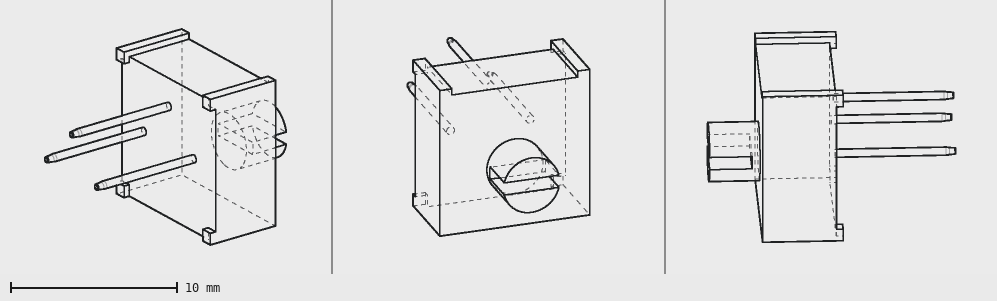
import cadquery as cq

CASE_SIDE = 9.53
CASE_DEPTH = 4.45
FOOT_SIDE = 0.77
FOOT_HEIGHT = 0.4
TOP_RECESS = 0.4

SHAFT_DIAMETER = 3.56
SHAFT_LENGTH = 3.02
SHAFT_Z = -0.87
SLOT_WIDTH = 0.8
SLOT_DEPTH = 2.53

OVERALL_LENGTH = 14.73
PIN_LENGTH = OVERALL_LENGTH - SHAFT_LENGTH - CASE_DEPTH
PIN_PITCH = 2.53
PIN_RADIUS = 0.25
SHOULDER_RADIUS = 0.22
TAPER_END_RADIUS = 0.19
TIP_RADIUS = 0.15
SHOULDER_START = 0.6
TAPER_START = 0.41
TIP_BEVEL = 0.06
PIN_POSITIONS = [(-PIN_PITCH, 0), (0, PIN_PITCH), (PIN_PITCH, 0)]


def make_case():
    """Block with four corner feet in front and a shallow recess along the top."""
    block = cq.Workplane("XY").box(CASE_SIDE, CASE_DEPTH, CASE_SIDE).translate((0, -CASE_DEPTH / 2, 0))
    foot_spacing = CASE_SIDE - FOOT_SIDE
    feet = (
        cq.Workplane("XZ", origin=(0, -CASE_DEPTH, 0))
        .rarray(foot_spacing, foot_spacing, 2, 2)
        .rect(FOOT_SIDE, FOOT_SIDE)
        .extrude(FOOT_HEIGHT)
    )
    recess = (
        cq.Workplane("XZ")
        .center(0, (CASE_SIDE - TOP_RECESS) / 2)
        .rect(CASE_SIDE - 2 * FOOT_SIDE, TOP_RECESS)
        .extrude(CASE_DEPTH)
    )
    return block.union(feet).cut(recess)


def make_shaft():
    """Round shaft with a screwdriver slot across its free end, along X."""
    shaft = cq.Workplane("XZ", origin=(0, 0, SHAFT_Z)).circle(SHAFT_DIAMETER / 2).extrude(-SHAFT_LENGTH)
    slot_center_y = SHAFT_LENGTH - SLOT_DEPTH / 2
    slot = cq.Workplane("XY").box(SHAFT_DIAMETER, SLOT_DEPTH, SLOT_WIDTH)
    return shaft.cut(slot.translate((0, slot_center_y, SHAFT_Z)))


def make_pin(x, z):
    """Round pin with a rounded shoulder, a tapered tip and a beveled end."""
    shoulder_length = SHOULDER_START - TAPER_START
    profile = (
        cq.Workplane("XY")
        .lineTo(PIN_RADIUS, 0)
        .lineTo(PIN_RADIUS, SHOULDER_START - PIN_LENGTH)
        .tangentArcPoint((SHOULDER_RADIUS - PIN_RADIUS, -shoulder_length))
        .lineTo(TAPER_END_RADIUS, TIP_BEVEL - PIN_LENGTH)
        .lineTo(TIP_RADIUS, -PIN_LENGTH)
        .lineTo(0, -PIN_LENGTH)
        .close()
    )
    pin = profile.revolve(360, (0, 0, 0), (0, 1, 0))
    return pin.translate((x, -CASE_DEPTH, z))


case = make_case()
shaft = make_shaft()
pins = [make_pin(x, z) for x, z in PIN_POSITIONS]

result = cq.Compound.makeCompound([case.val(), shaft.val(), *[pin.val() for pin in pins]])